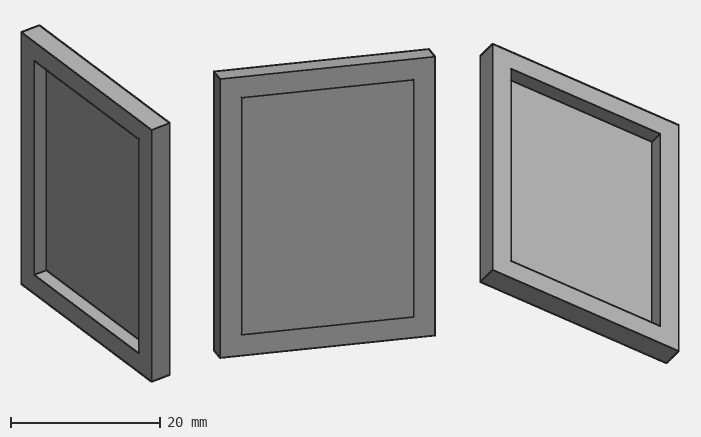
import cadquery as cq

frame_width = 30.0
frame_height = 40.0
frame_depth = 3.0
border = 3.0

panel_thickness = 1.0
opening_width = frame_width - 2 * border
opening_height = frame_height - 2 * border
panel_center_y = (frame_depth - panel_thickness) / 2


def make_frame():
    """Rectangular frame with an opening right through its depth."""
    outer = cq.Workplane("XY").box(frame_width, frame_depth, frame_height)
    opening = cq.Workplane("XY").box(opening_width, frame_depth, opening_height)
    return outer.cut(opening)


def make_panel():
    """Flat panel that fills the back of the frame opening."""
    panel = cq.Workplane("XY").box(opening_width, panel_thickness, opening_height)
    return panel.translate((0, panel_center_y, 0))


frame = make_frame()
panel = make_panel()

result = cq.Compound.makeCompound([frame.val(), panel.val()])